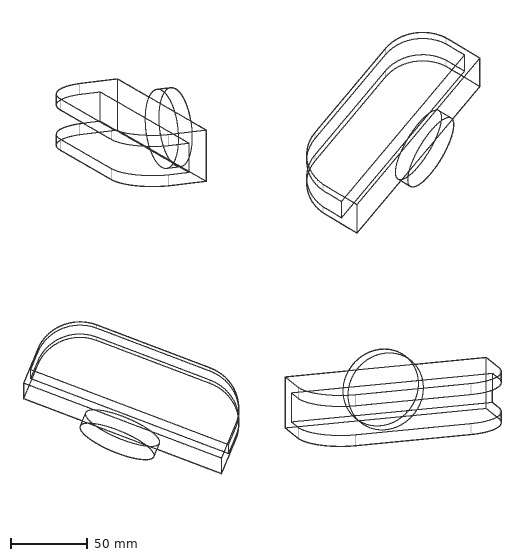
import cadquery as cq
import math

body_length = 140.0
body_depth = 55.0
body_height = 35.0
jaw_thickness = 7.5
web_thickness = 12.5
corner_radius = 30.0
corner_depth = 27.7

disc_diameter = 52.5
disc_thickness = 10.0
disc_rise = 0.8


def make_body():
    """Block with rounded front corners, its back face on Y = 0.

    Each corner arc is tangent to the front face and meets the end face at a very slight angle.
    """
    half_length = body_length / 2
    arc_center_y = corner_radius - body_depth
    arc_start_y = corner_depth - body_depth
    corner_run = math.sqrt(corner_radius**2 - (corner_radius - corner_depth) ** 2)
    front_half_length = half_length - corner_run

    diagonal = corner_radius * math.sqrt(0.5)
    arc_middle_x = front_half_length + diagonal
    arc_middle_y = arc_center_y - diagonal

    return (
        cq.Workplane("XY")
        .workplane(offset=-body_height / 2)
        .moveTo(-half_length, 0)
        .lineTo(-half_length, arc_start_y)
        .threePointArc((-arc_middle_x, arc_middle_y), (-front_half_length, -body_depth))
        .lineTo(front_half_length, -body_depth)
        .threePointArc((arc_middle_x, arc_middle_y), (half_length, arc_start_y))
        .lineTo(half_length, 0)
        .close()
        .extrude(body_height)
    )


def make_slot():
    """Full-length gap between the jaws, open at the front and both ends."""
    slot_depth = body_depth - web_thickness
    slot_height = body_height - 2 * jaw_thickness
    return (
        cq.Workplane("XY")
        .box(body_length, slot_depth, slot_height)
        .translate((0, -web_thickness - slot_depth / 2, 0))
    )


def make_disc():
    """Disc standing out behind the back face."""
    return (
        cq.Workplane("XZ")
        .center(0, disc_rise)
        .circle(disc_diameter / 2)
        .extrude(-disc_thickness)
    )


result = make_body().cut(make_slot()).union(make_disc())